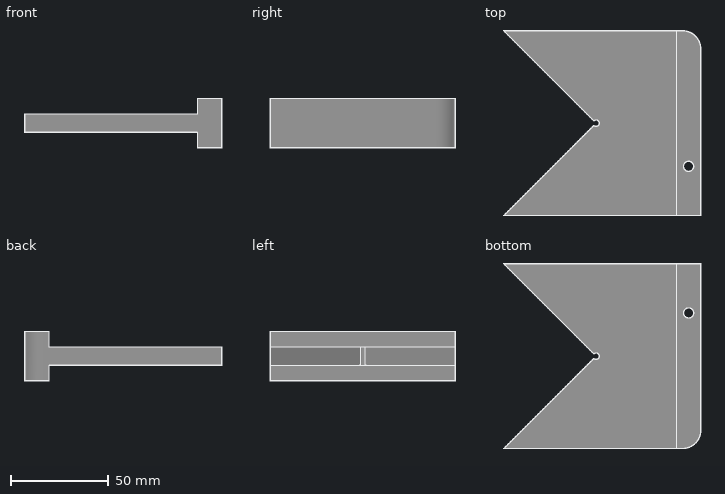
import cadquery as cq

length = 101.6
width = 95.25
rail_height = 25.4

rail_width = 12.7
blade_thickness = 9.525

corner_radius = 9.525
hang_hole_diameter = 5.1054
hang_hole_edge_distance = 25.4
relief_diameter = 3.175

notch_depth = width / 2


def make_blade():
    """Flat plate with its free end at X = 0, centred on Y and Z."""
    return cq.Workplane("XY").box(length, width, blade_thickness, centered=(False, True, True))


def make_rail():
    """Bar across the far end of the blade, standing proud of both faces."""
    return (
        cq.Workplane("XY")
        .box(rail_width, width, rail_height, centered=(False, True, True))
        .translate((length - rail_width, 0, 0))
    )


def make_notch():
    """V-shaped cutter that opens across the whole free end of the blade."""
    return (
        cq.Workplane("XY")
        .moveTo(0, -width / 2)
        .lineTo(notch_depth, 0)
        .lineTo(0, width / 2)
        .close()
        .extrude(blade_thickness, both=True)
    )


def make_through_hole(x, y, diameter):
    """Vertical cylinder that passes through the full height of the part."""
    return cq.Workplane("XY").center(x, y).circle(diameter / 2).extrude(rail_height, both=True)


body = make_blade().union(make_rail())

body = body.edges("|Z and >X and >Y").fillet(corner_radius)

body = body.cut(make_notch())
body = body.cut(make_through_hole(notch_depth, 0, relief_diameter))

hang_hole_x = length - rail_width / 2
hang_hole_y = hang_hole_edge_distance - width / 2
result = body.cut(make_through_hole(hang_hole_x, hang_hole_y, hang_hole_diameter))